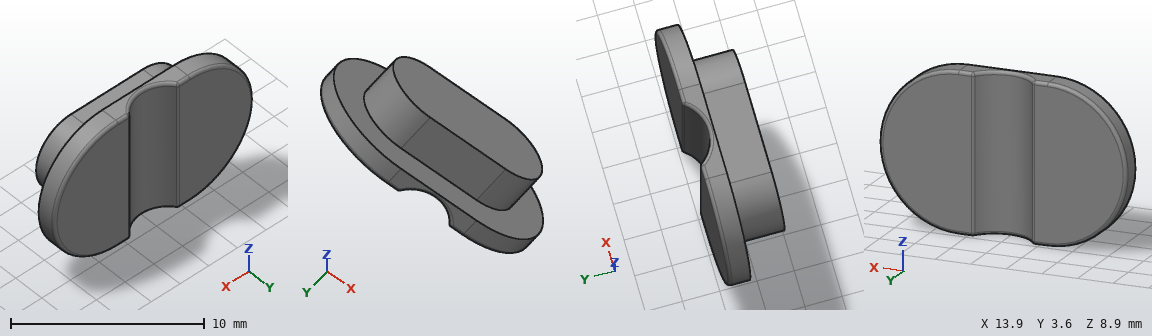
import cadquery as cq

flange_length = 13.9
flange_height = 8.9
flange_thickness = 1.2

boss_length = 9.9
boss_height = 4.89
boss_depth = 2.4

groove_radius = 2.0
groove_depth = 0.9

edge_radius = 0.2


def stadium(length, height, start_y, end_y):
    """Extruded stadium centred on the Y axis, from start_y to end_y."""
    return (
        cq.Workplane("XZ", origin=(0, start_y, 0))
        .slot2D(length, height)
        .extrude(start_y - end_y)
    )


def grooved_flange():
    """Flange with the groove cut and all edges around its outer face rounded."""
    plate = stadium(flange_length, flange_height, 0, flange_thickness)
    groove_center_y = flange_thickness - groove_depth + groove_radius
    groove = (
        cq.Workplane("XY")
        .center(0, groove_center_y)
        .circle(groove_radius)
        .extrude(flange_height, both=True)
    )
    return plate.cut(groove).edges("not(<Y or |Y)").fillet(edge_radius)


boss = stadium(boss_length, boss_height, 0, -boss_depth)
result = grooved_flange().union(boss)